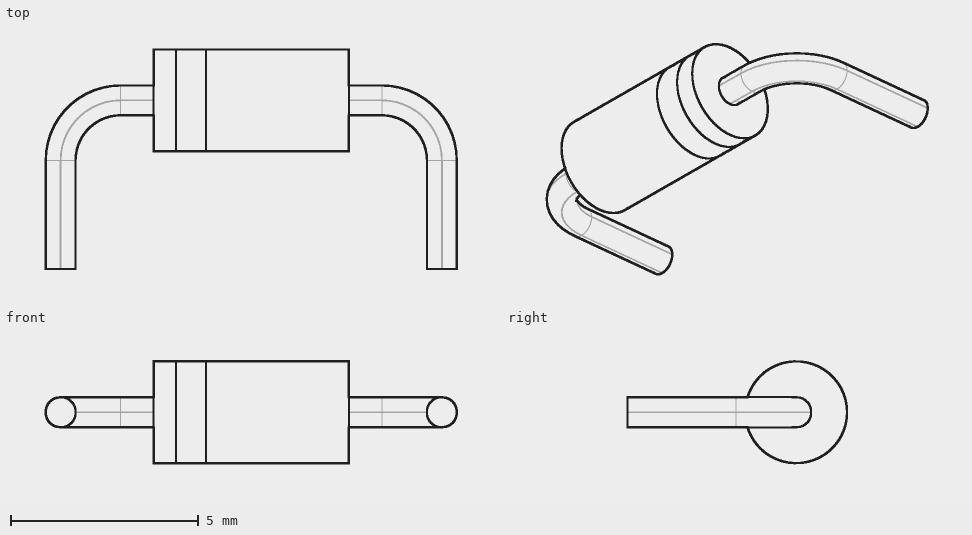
import cadquery as cq

lead_pitch = 10.16
wire_size = 0.8
wire_flat = 0.02
bend_radius = 2 * wire_size
leg_reach = 4.5
body_length = 5.2
body_diameter = 2.72
band_thickness = 0.1
band_offset = 0.6
band_width = 0.8

band_inner_diameter = body_diameter - 2 * band_thickness
body_start = (lead_pitch - body_length) / 2
band_start = body_start + band_offset
wire_corner_radius = (wire_size - wire_flat) / 2


def cylinder_along_x(start, length, diameter):
    return cq.Workplane("YZ", origin=(start, 0, 0)).circle(diameter / 2).extrude(length)


def make_lead():
    """One continuous wire: down both legs, around both bends and through the body."""
    bend_centre_y = -bend_radius
    right_bend_x = lead_pitch - bend_radius
    path = (
        cq.Workplane("XY")
        .moveTo(0, -leg_reach)
        .lineTo(0, bend_centre_y)
        .tangentArcPoint((bend_radius, 0), relative=False)
        .lineTo(right_bend_x, 0)
        .tangentArcPoint((lead_pitch, bend_centre_y), relative=False)
        .lineTo(lead_pitch, -leg_reach)
    )
    section = cq.Sketch().rect(wire_size, wire_size).vertices().fillet(wire_corner_radius)
    return cq.Workplane("XZ", origin=(0, -leg_reach, 0)).placeSketch(section).sweep(path)


def make_band():
    """Thin cathode ring set flush into the body."""
    disc = cylinder_along_x(band_start, band_width, body_diameter)
    bore = cylinder_along_x(band_start, band_width, band_inner_diameter)
    return disc.cut(bore)


def make_body(lead, band):
    """Cylindrical housing with a passage for the lead and a groove for the band."""
    return cylinder_along_x(body_start, body_length, body_diameter).cut(lead).cut(band)


lead = make_lead()
band = make_band()
body = make_body(lead, band)

result = cq.Compound.makeCompound([body.solids().val(), band.solids().val(), lead.val()])